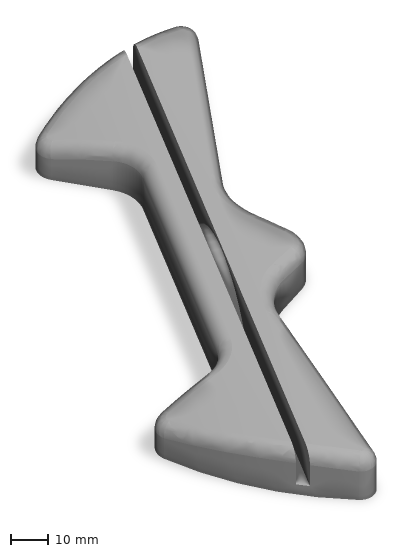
import cadquery as cq

crown_height = 15.0
crown_radius = 114.2
rim_radius = 4.0

peak = (0, 28.7)
valley = (19.6, 8.5)
wing_tip = (97.0, 21.1)
side_middle = (81.8, -12.5)
foot = (59.2, -36.3)
leg_root = (44.0, -9.9)

peak_radius = 8.5
valley_radius = 18.6
wing_tip_radius = 4.5
foot_radius = 5.7
leg_root_radius = 11.5

groove_width = 3.5
groove_floor = 3.6
hump_half_length = 23.2
hump_top = 13.9


def mirrored(point):
    """Return the matching point on the left half."""
    return (-point[0], point[1])


def both_sides(point):
    return [point, mirrored(point)]


def round_corners(body, corners, radius):
    """Round the vertical edges that stand on the given outline corners."""
    for corner in corners:
        edge = cq.selectors.NearestToPointSelector((*corner, crown_height / 2))
        body = body.edges("|Z").edges(edge).fillet(radius)
    return body


def make_plate():
    """Flat plate with the winged outline and rounded corners."""
    plate = (
        cq.Workplane("XY")
        .moveTo(*peak)
        .lineTo(*valley)
        .lineTo(*wing_tip)
        .threePointArc(side_middle, foot)
        .lineTo(*leg_root)
        .lineTo(*mirrored(leg_root))
        .lineTo(*mirrored(foot))
        .threePointArc(mirrored(side_middle), mirrored(wing_tip))
        .lineTo(*mirrored(valley))
        .close()
        .extrude(crown_height)
    )
    plate = round_corners(plate, [peak], peak_radius)
    plate = round_corners(plate, both_sides(valley), valley_radius)
    plate = round_corners(plate, both_sides(wing_tip), wing_tip_radius)
    plate = round_corners(plate, both_sides(foot), foot_radius)
    return round_corners(plate, both_sides(leg_root), leg_root_radius)


def make_crown():
    """Cylinder along X whose top gives the part its convex upper face."""
    length = 3 * wing_tip[0]
    return (
        cq.Workplane("YZ")
        .center(0, crown_height - crown_radius)
        .circle(crown_radius)
        .extrude(length / 2, both=True)
    )


def make_groove():
    """Full-length cutter whose underside arches up over the hump."""
    end = 1.5 * wing_tip[0]
    cutter_top = 2 * crown_height
    return (
        cq.Workplane("XZ")
        .moveTo(-end, groove_floor)
        .lineTo(-hump_half_length, groove_floor)
        .threePointArc((0, hump_top), (hump_half_length, groove_floor))
        .lineTo(end, groove_floor)
        .lineTo(end, cutter_top)
        .lineTo(-end, cutter_top)
        .close()
        .extrude(groove_width / 2, both=True)
    )


body = make_plate().intersect(make_crown())
body = body.faces(">Z").edges().fillet(rim_radius)
result = body.cut(make_groove())